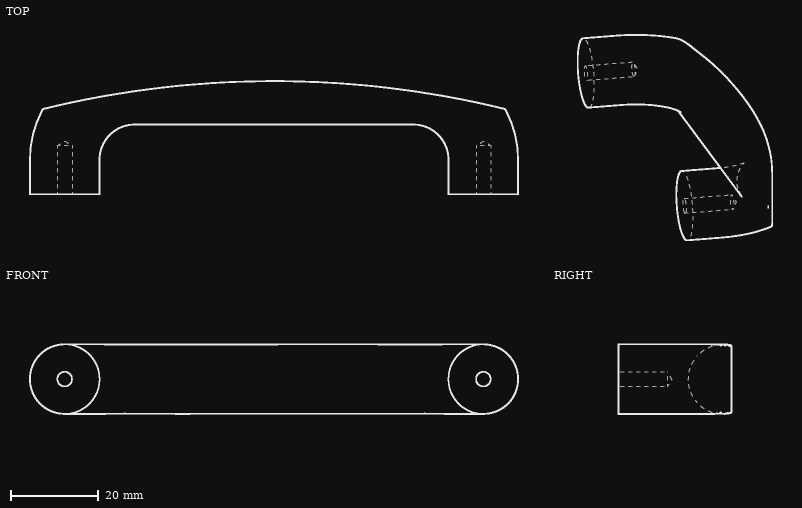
import cadquery as cq
import math

length = 112.0
bar_diameter = 16.0
post_height = 8.0
bend_radius = 16.0
depth = 26.0
crown_radius = 221.8
crown_edge_fillet = 0.5
hole_diameter = 3.4
hole_depth = 11.2
drill_tip_angle = 118.0

post_x = (length - bar_diameter) / 2
bar_y = post_height + bend_radius
bend_start_x = post_x - bend_radius


def bent_bar():
    """Round bar swept up one post, around both bends and down the other post."""
    path = (
        cq.Workplane("XY")
        .moveTo(-post_x, 0)
        .lineTo(-post_x, post_height)
        .tangentArcPoint((-bend_start_x, bar_y), relative=False)
        .lineTo(bend_start_x, bar_y)
        .tangentArcPoint((post_x, post_height), relative=False)
        .lineTo(post_x, 0)
    )
    section = cq.Workplane("XZ", origin=(-post_x, 0, 0)).circle(bar_diameter / 2)
    return section.sweep(path)


def crown_envelope():
    """Large cylinder along Z whose outer side shapes the shallow crowned grip."""
    return (
        cq.Workplane("XY", origin=(0, depth - crown_radius, -bar_diameter))
        .circle(crown_radius)
        .extrude(2 * bar_diameter)
    )


def screw_hole(x):
    """Blind drilled hole, with a conical end, in the foot of a post."""
    radius = hole_diameter / 2
    tip_height = radius / math.tan(math.radians(drill_tip_angle / 2))
    return (
        cq.Workplane("XY", origin=(x, 0, 0))
        .polyline([(0, 0), (radius, 0), (radius, hole_depth), (0, hole_depth + tip_height)])
        .close()
        .revolve(360, (0, 0), (0, 1))
    )


result = bent_bar().intersect(crown_envelope())
result = result.faces(">Y").edges().fillet(crown_edge_fillet)
for x in (-post_x, post_x):
    result = result.cut(screw_hole(x))